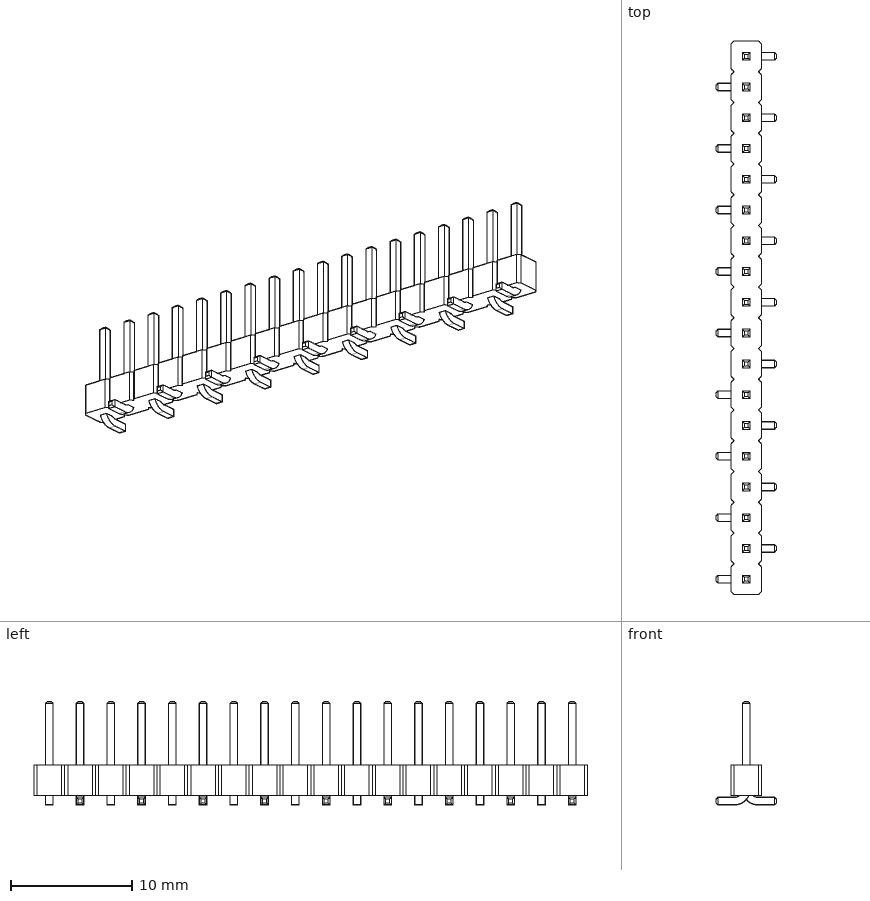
import cadquery as cq
import math


pin_count = 18
pitch = 2.54

body_width = pitch
body_length = pin_count * pitch
body_height = pitch
body_bottom = 0.76
cell_chamfer = pitch / 10

pin_size = 0.64
half_pin = pin_size / 2
total_height = 8.54
foot_reach = 2.5
tip_chamfer = pin_size / 4

inner_bend_radius = pin_size
outer_bend_radius = inner_bend_radius + pin_size


def make_cell(y):
    """One body cell with chamfered upright edges, which leave V grooves between cells."""
    cell = cq.Workplane("XY", origin=(0, y, body_bottom))
    cell = cell.rect(body_width, pitch).extrude(body_height)
    return cell.edges("|Z").chamfer(cell_chamfer)


def make_pin(y, side):
    """One bent pin; side is +1 or -1, the X direction its foot points to."""
    bend_x = outer_bend_radius - half_pin
    bend_z = outer_bend_radius
    outer_mid = outer_bend_radius * math.sqrt(0.5)
    inner_mid = inner_bend_radius * math.sqrt(0.5)

    def at(x, z):
        """Point of the profile, turned to the side of the foot."""
        return (side * x, z)

    outline = (
        cq.Workplane("XZ", origin=(0, y, 0))
        .moveTo(*at(-half_pin, bend_z))
        .threePointArc(at(bend_x - outer_mid, bend_z - outer_mid), at(bend_x, 0))
        .lineTo(*at(foot_reach, 0))
        .lineTo(*at(foot_reach, pin_size))
        .lineTo(*at(bend_x, pin_size))
        .threePointArc(at(bend_x - inner_mid, bend_z - inner_mid), at(half_pin, bend_z))
        .lineTo(*at(half_pin, total_height))
        .lineTo(*at(-half_pin, total_height))
        .close()
    )
    wire = outline.extrude(half_pin, both=True)
    pin = wire.faces(">Z").chamfer(tip_chamfer)
    return pin.faces(">X" if side > 0 else "<X").chamfer(tip_chamfer)


first_pin_y = (pitch - body_length) / 2
pin_positions = [first_pin_y + index * pitch for index in range(pin_count)]

result = make_cell(pin_positions[0])
for pin_y in pin_positions[1:]:
    result = result.union(make_cell(pin_y))

foot_side = -1
for pin_y in pin_positions:
    result = result.union(make_pin(pin_y, foot_side))
    foot_side = -foot_side

result = result.clean()